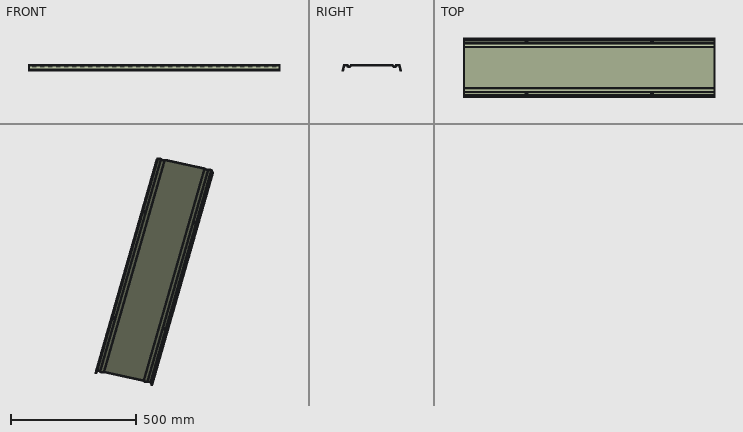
import cadquery as cq
import math

LENGTH = 1000.0
WIDTH = 232.0
HEIGHT = 21.0
SHEET = 0.8

SHOULDER_HALF_WIDTH = 110.0
GROOVE_OUTER = 97.0
GROOVE_FLOOR_OUTER = 95.0
GROOVE_FLOOR_INNER = 88.0
GROOVE_INNER = 82.0
GROOVE_DEPTH = 6.0
GROOVE_FLOOR_RADIUS = 4.0
HEM_HEIGHT = 4.0

HOLE_DIAMETER = 6.0
HOLE_SPACING_X = LENGTH / 2
HOLE_Y = 102.0

half_width = WIDTH / 2
skirt_slope = (half_width - SHOULDER_HALF_WIDTH) / HEIGHT


def skirt_y(z):
    """Outer surface of the +Y skirt at height z."""
    return SHOULDER_HALF_WIDTH - z * skirt_slope


def extrude_profile(points):
    """Prism along the full length from (y, z) points, centred on X = 0."""
    return cq.Workplane("YZ").polyline(points).close().extrude(LENGTH / 2, both=True)


def mirrored_pair(body):
    return body.union(body.mirror("XZ"))


def channel_blank():
    """Bent sheet without grooves: flat top and two splayed skirts."""
    half_outline = [
        (SHOULDER_HALF_WIDTH, 0),
        (half_width, -HEIGHT),
        (half_width - SHEET, -HEIGHT),
        (skirt_y(-SHEET) - SHEET, -SHEET),
    ]
    mirrored = [(-y, z) for y, z in reversed(half_outline)]
    return extrude_profile(half_outline + mirrored)


def groove_body(wall):
    """Solid filling the +Y groove, grown outward by the given wall thickness."""
    inner_angle = math.atan2(GROOVE_DEPTH, GROOVE_FLOOR_INNER - GROOVE_INNER)
    outer_angle = math.atan2(GROOVE_DEPTH, GROOVE_OUTER - GROOVE_FLOOR_OUTER)
    inner_top = wall / math.sin(inner_angle)
    outer_top = wall / math.sin(outer_angle)
    inner_floor = wall * math.tan(inner_angle / 2)
    outer_floor = wall * math.tan(outer_angle / 2)
    floor_z = -GROOVE_DEPTH - wall
    corners = [
        (GROOVE_INNER - inner_top, 0),
        (GROOVE_FLOOR_INNER - inner_floor, floor_z),
        (GROOVE_FLOOR_OUTER + outer_floor, floor_z),
        (GROOVE_OUTER + outer_top, 0),
    ]
    body = extrude_profile(corners)
    return body.faces("<Z").edges("|X").fillet(GROOVE_FLOOR_RADIUS + wall)


def hems():
    """Return folds lying flat against the inside of the skirt bottoms."""
    hem_top = HEM_HEIGHT - HEIGHT
    corners = [
        (half_width - SHEET, -HEIGHT),
        (skirt_y(hem_top) - SHEET, hem_top),
        (skirt_y(hem_top) - 2 * SHEET, hem_top),
        (half_width - 2 * SHEET, -HEIGHT),
    ]
    return mirrored_pair(extrude_profile(corners))


def fixing_holes():
    return (
        cq.Workplane("XY")
        .rarray(HOLE_SPACING_X, 2 * HOLE_Y, 2, 2)
        .circle(HOLE_DIAMETER / 2)
        .extrude(-HEIGHT)
    )


result = (
    channel_blank()
    .union(mirrored_pair(groove_body(SHEET)))
    .cut(mirrored_pair(groove_body(0)))
    .union(hems())
    .cut(fixing_holes())
)